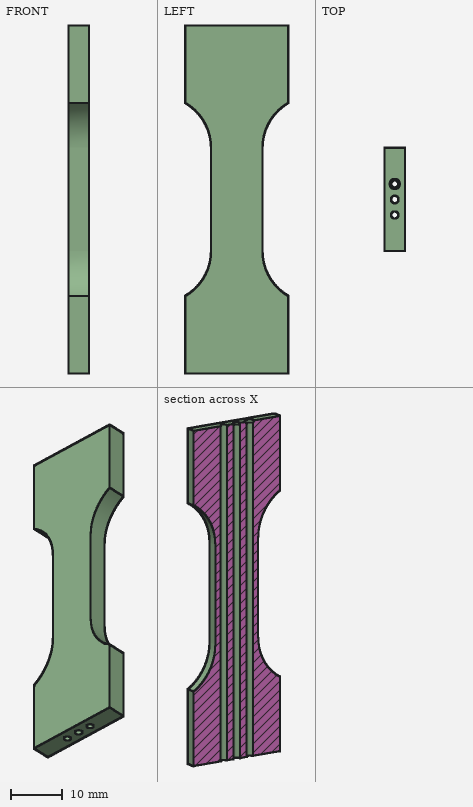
import cadquery as cq
import math

length = 67.3
width = 20.0
thickness = width / 5
waist_width = width / 2
gauge_length = width
shoulder_radius = width / 2

hole_spacing = 0.15 * width
side_hole_diameter = 1.35
center_hole_diameter = 1.4
counterbore_diameter = 1.5
counterbore_depth = 0.5
countersink_diameter = 1.95
countersink_depth = 0.5


def shoulder_point(turn):
    """Y and Z on the upper +Y shoulder arc after turning away from the waist."""
    y = waist_width / 2 + shoulder_radius * (1 - math.cos(turn))
    z = gauge_length / 2 + shoulder_radius * math.sin(turn)
    return y, z


def make_plate():
    """Dog-bone plate: two wide grips joined to a narrow waist by round shoulders."""
    shoulder_rise = (width - waist_width) / 2
    full_turn = math.acos(1 - shoulder_rise / shoulder_radius)
    mid_y, mid_z = shoulder_point(full_turn / 2)
    end_y, end_z = shoulder_point(full_turn)
    waist_y = waist_width / 2
    waist_z = gauge_length / 2
    return (
        cq.Workplane("YZ")
        .moveTo(end_y, length / 2)
        .lineTo(end_y, end_z)
        .threePointArc((mid_y, mid_z), (waist_y, waist_z))
        .lineTo(waist_y, -waist_z)
        .threePointArc((mid_y, -mid_z), (end_y, -end_z))
        .lineTo(end_y, -length / 2)
        .lineTo(-end_y, -length / 2)
        .lineTo(-end_y, -end_z)
        .threePointArc((-mid_y, -mid_z), (-waist_y, -waist_z))
        .lineTo(-waist_y, waist_z)
        .threePointArc((-mid_y, mid_z), (-end_y, end_z))
        .lineTo(-end_y, length / 2)
        .close()
        .extrude(thickness / 2, both=True)
    )


def top_at(plate, y):
    """Workplane on the top end of the plate, centered at the given Y."""
    return plate.faces(">Z").workplane(origin=(0, y, 0))


def drill_plain_hole(plate):
    """Straight through hole on the -Y side."""
    return top_at(plate, -hole_spacing).hole(side_hole_diameter)


def drill_counterbored_hole(plate):
    """Through hole on the center line with a slightly wider mouth."""
    return top_at(plate, 0).cboreHole(center_hole_diameter, counterbore_diameter, counterbore_depth)


def drill_countersunk_hole(plate):
    """Through hole on the +Y side with a conical mouth."""
    sink_angle = 2 * math.degrees(math.atan(
        (countersink_diameter - side_hole_diameter) / 2 / countersink_depth
    ))
    return top_at(plate, hole_spacing).cskHole(side_hole_diameter, countersink_diameter, sink_angle)


plate = make_plate()
plate = drill_plain_hole(plate)
plate = drill_counterbored_hole(plate)
result = drill_countersunk_hole(plate)